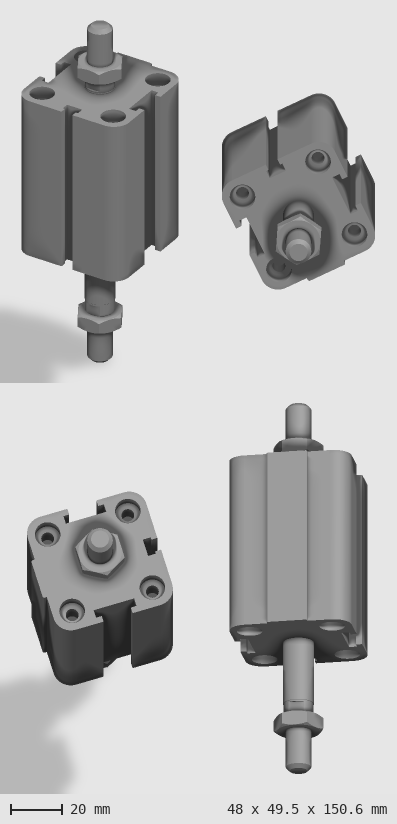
import cadquery as cq
import math


side = 48.0
housing_height = 69.8
corner_radius = 6.9
tab_width = 16.0
tab_height = 1.5
tab_edge_chamfer = 0.5

slot_lip = 2.4
slot_depth = 5.5
side_neck_width = 11.7
side_channel_width = 16.4
front_neck_width = 5.0
front_channel_width = 6.9

mount_offset = 16.3
mount_hole_diameter = 5.0
counterbore_diameter = 10.0
mount_hole_depth = 14.6
counterbore_depth = 5.3

rod_diameter = 12.0
shoulder_diameter = 11.7
thread_diameter = 10.0
stroke = 25.0
rod_edge_chamfer = (rod_diameter - shoulder_diameter) / 2
collar_height = 0.5
flat_gap = 0.6
flat_to_flat = 10.0
shoulder_height = 5.9
shoulder_chamfer = 0.5
thread_length = 22.0
thread_chamfer = 1.5

nut_across_flats = 17.0
nut_height = 5.9
nut_face_diameter = 16.9
nut_chamfer_angle = 30
nut_countersink_diameter = 10.5


def t_slot(neck_width, channel_width):
    """T-slot cutter that opens through the -Y face of the housing over its whole height."""
    face_y = -side / 2
    neck = cq.Workplane("XY").box(neck_width, slot_lip, housing_height, centered=(True, False, False))
    channel = (
        cq.Workplane("XY")
        .box(channel_width, slot_depth - slot_lip, housing_height, centered=(True, False, False))
        .translate((0, slot_lip, 0))
    )
    return neck.union(channel).translate((0, face_y, 0))


def make_housing():
    block = (
        cq.Workplane("XY")
        .box(side, side, housing_height, centered=(True, True, False))
        .edges("|Z")
        .fillet(corner_radius)
    )

    tab = (
        cq.Workplane("XY")
        .box(tab_width, side / 2 + tab_height, housing_height, centered=(True, False, False))
        .edges("|Z and >Y")
        .chamfer(tab_edge_chamfer)
    )
    block = block.union(tab)

    side_slot = t_slot(side_neck_width, side_channel_width)
    block = block.cut(t_slot(front_neck_width, front_channel_width))
    for angle in (-90, 90):
        block = block.cut(side_slot.rotate((0, 0, 0), (0, 0, 1), angle))

    mount_pitch = 2 * mount_offset
    for face in (">Z", "<Z"):
        block = (
            block.faces(face)
            .workplane(origin=(0, 0, 0))
            .rarray(mount_pitch, mount_pitch, 2, 2)
            .cboreHole(mount_hole_diameter, counterbore_diameter, counterbore_depth, mount_hole_depth)
        )

    return block.cut(cq.Workplane("XY").circle(rod_diameter / 2).extrude(housing_height))


def rod_end():
    """Shoulder and thread of one rod end, pointing up, with Z = 0 at the end of the main diameter."""
    height = shoulder_height - collar_height
    shoulder = (
        cq.Workplane("XY")
        .circle(shoulder_diameter / 2)
        .extrude(height)
        .faces(">Z")
        .chamfer(shoulder_chamfer)
    )

    flats = (
        cq.Workplane("XY", origin=(0, 0, flat_gap))
        .rect(rod_diameter, flat_to_flat)
        .extrude(height)
    )
    collar = cq.Workplane("XY").circle(rod_diameter / 2).extrude(flat_gap)
    shoulder = shoulder.intersect(flats.union(collar))

    thread = (
        cq.Workplane("XY")
        .circle(thread_diameter / 2)
        .extrude(height + thread_length)
        .faces(">Z")
        .chamfer(thread_chamfer)
    )
    return shoulder.union(thread)


def make_rod():
    main_bottom = -(stroke + collar_height)
    main_top = housing_height + collar_height
    rod = (
        cq.Workplane("XY", origin=(0, 0, main_bottom))
        .circle(rod_diameter / 2)
        .extrude(main_top - main_bottom)
        .faces("<Z or >Z")
        .chamfer(rod_edge_chamfer)
    )
    upper_end = rod_end().translate((0, 0, main_top))
    lower_end = rod_end().rotate((0, 0, 0), (1, 0, 0), 180).translate((0, 0, main_bottom))
    return rod.union(upper_end).union(lower_end)


def make_nut(bottom_z):
    across_corners = nut_across_flats / math.cos(math.radians(30))
    corner_distance = across_corners / 2
    face_radius = nut_face_diameter / 2
    drop = (corner_distance - face_radius) * math.tan(math.radians(nut_chamfer_angle))
    bore_radius = thread_diameter / 2
    sink_radius = nut_countersink_diameter / 2
    sink_depth = sink_radius - bore_radius

    hexagon = cq.Workplane("XY").polygon(6, across_corners).extrude(nut_height)

    bevelled_ring = (
        cq.Workplane("XZ")
        .moveTo(bore_radius, sink_depth)
        .lineTo(sink_radius, 0)
        .lineTo(face_radius, 0)
        .lineTo(corner_distance, drop)
        .lineTo(corner_distance, nut_height - drop)
        .lineTo(face_radius, nut_height)
        .lineTo(sink_radius, nut_height)
        .lineTo(bore_radius, nut_height - sink_depth)
        .close()
        .revolve(360, (0, 0, 0), (0, 1, 0))
    )
    return hexagon.intersect(bevelled_ring).translate((0, 0, bottom_z))


housing = make_housing()
rod = make_rod()
upper_nut_z = housing_height + shoulder_height
lower_nut_z = -(stroke + shoulder_height + nut_height)
nuts = [make_nut(bottom_z) for bottom_z in (upper_nut_z, lower_nut_z)]

bodies = [body.solids().val() for body in (housing, rod, *nuts)]
result = cq.Compound.makeCompound(bodies)